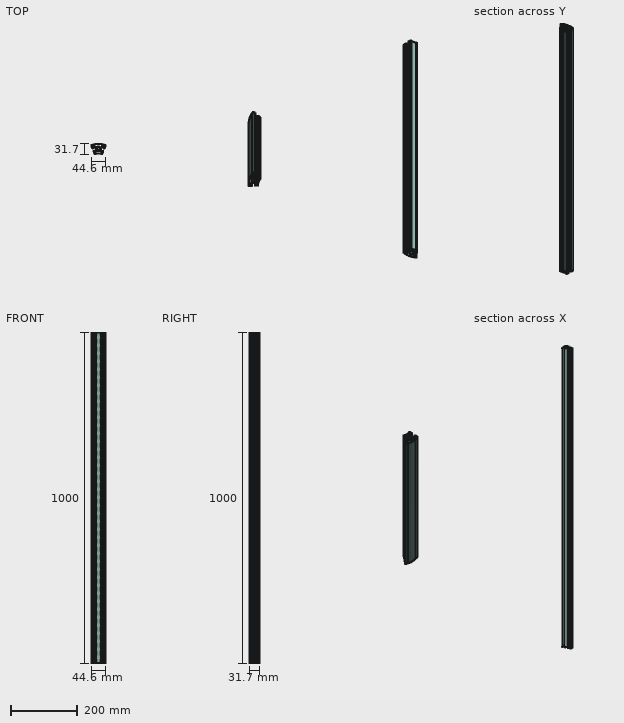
import cadquery as cq
import math

LENGTH = 1000.0
INNER_RADIUS = 30.0
OUTER_RADIUS = 60.0
WEDGE_ANGLE = 45.0
OUTER_CORNER_FILLET = 2.15
INNER_CORNER_FILLET = 2.0

WALL = 1.4

GROOVE_RADIUS = 44.8
GROOVE_OPENING = 7.0
GROOVE_LIP = 2.7
GROOVE_WIDTH = 16.6
GROOVE_SHOULDER_DEPTH = 5.1
GROOVE_FLOOR_WIDTH = 10.0
GROOVE_DEPTH = 8.7
LIP_ROUNDING = 2.4

CORE_RADIUS = 44.9
BORE_DIAMETER = 9.0
TUBE_DIAMETER = 14.4

DIVIDING_RADIUS = 42.0
UPPER_CHAMBER_INSET = GROOVE_DEPTH + WALL
UPPER_HOLLOW_INSET = 7.0
LOWER_HOLLOW_INSET = 3.7
LOWER_CHAMBER_INSET = LOWER_HOLLOW_INSET + WALL
HOLLOW_FILLET = 0.5

HALF_ANGLE = math.radians(WEDGE_ANGLE / 2)
CEILING_RADIUS = OUTER_RADIUS - WALL
FLOOR_RADIUS = INNER_RADIUS + WALL
CLEARANCE = 1.0


def polar(radius, angle):
    """Point at a radius, with the angle measured from +Y towards +X."""
    return (radius * math.sin(angle), radius * math.cos(angle))


def sector(inner, outer, inset=0.0):
    """Wedge between two radii, its sides moved inwards from the side faces by the inset."""
    inner_angle = HALF_ANGLE - math.asin(inset / inner)
    outer_angle = HALF_ANGLE - math.asin(inset / outer)
    return (
        cq.Workplane()
        .moveTo(*polar(inner, -inner_angle))
        .threePointArc((0, inner), polar(inner, inner_angle))
        .lineTo(*polar(outer, outer_angle))
        .threePointArc((0, outer), polar(outer, -outer_angle))
        .close()
        .extrude(LENGTH)
    )


def on_right_side(solid):
    """Moves a solid so that its X runs outwards along the +X side face and its Y runs into the part."""
    turn = 90 - math.degrees(HALF_ANGLE)
    x, y = polar(GROOVE_RADIUS, HALF_ANGLE)
    return solid.rotate((0, 0, 0), (0, 0, 1), turn).translate((x, y, 0))


def both_sides(solid):
    return solid.union(solid.mirror("YZ"))


def edges_at(points):
    """Selector for the Z edges that pass through the given points."""
    reach = 0.1
    boxes = [
        cq.selectors.BoxSelector((x - reach, y - reach, 0), (x + reach, y + reach, LENGTH))
        for x, y in points
    ]
    selector = boxes[0]
    for box in boxes[1:]:
        selector = selector + box
    return selector


def mirrored_polar(radius):
    """The two points on the side faces at a radius."""
    return [polar(radius, HALF_ANGLE), polar(radius, -HALF_ANGLE)]


def cylinder(diameter):
    return cq.Workplane().center(0, CORE_RADIUS).circle(diameter / 2).extrude(LENGTH)


def outer_body():
    body = sector(INNER_RADIUS, OUTER_RADIUS)
    body = body.edges(edges_at(mirrored_polar(OUTER_RADIUS))).fillet(OUTER_CORNER_FILLET)
    return body.edges(edges_at(mirrored_polar(INNER_RADIUS))).fillet(INNER_CORNER_FILLET)


def groove_space(wall=0.0):
    """Wide part of both T-grooves, optionally thickened by a wall all around."""
    taper_angle = math.atan2(
        GROOVE_DEPTH - GROOVE_SHOULDER_DEPTH,
        (GROOVE_WIDTH - GROOVE_FLOOR_WIDTH) / 2,
    )
    floor_shift = wall * math.tan(taper_angle / 2)
    shoulder_shift = wall * math.tan((math.pi / 2 - taper_angle) / 2)
    half_width = GROOVE_WIDTH / 2 + wall
    half_floor = GROOVE_FLOOR_WIDTH / 2 + floor_shift
    top = GROOVE_LIP - wall
    shoulder = GROOVE_SHOULDER_DEPTH + shoulder_shift
    floor = GROOVE_DEPTH + wall
    outline = [
        (-half_width, top),
        (half_width, top),
        (half_width, shoulder),
        (half_floor, floor),
        (-half_floor, floor),
        (-half_width, shoulder),
    ]
    return both_sides(on_right_side(cq.Workplane().polyline(outline).close().extrude(LENGTH)))


def cut_grooves(body):
    opening = cq.Workplane().rect(GROOVE_OPENING, 2 * GROOVE_LIP + CLEARANCE).extrude(LENGTH)
    body = body.cut(groove_space()).cut(both_sides(on_right_side(opening)))
    lip_edges = [
        point
        for sign in (-1, 1)
        for point in mirrored_polar(GROOVE_RADIUS + sign * GROOVE_OPENING / 2)
    ]
    return body.edges(edges_at(lip_edges)).fillet(LIP_ROUNDING)


def chamber(inner, outer, inset):
    """Cavity on the symmetry plane, bounded by the groove webs and the core tube."""
    return sector(inner, outer, inset).cut(groove_space(WALL)).cut(cylinder(TUBE_DIAMETER))


def corner_hollows(direction, inset):
    """Pair of hollows beyond the grooves: direction 1 is towards the outer arc, -1 the inner arc."""
    start = GROOVE_WIDTH / 2 + WALL
    length = OUTER_RADIUS - INNER_RADIUS
    beyond_groove = (
        cq.Workplane()
        .center(direction * (start + length / 2), (WALL + inset) / 2)
        .rect(length, inset - WALL)
        .extrude(LENGTH)
    )
    hollow = on_right_side(beyond_groove).intersect(sector(FLOOR_RADIUS, CEILING_RADIUS))
    return both_sides(hollow.edges("|Z").fillet(HOLLOW_FILLET))


def build_profile():
    body = cut_grooves(outer_body())
    body = body.cut(chamber(DIVIDING_RADIUS, CEILING_RADIUS, UPPER_CHAMBER_INSET))
    body = body.cut(chamber(FLOOR_RADIUS, DIVIDING_RADIUS, LOWER_CHAMBER_INSET))
    body = body.cut(corner_hollows(1, UPPER_HOLLOW_INSET))
    body = body.cut(corner_hollows(-1, LOWER_HOLLOW_INSET))
    return body.cut(cylinder(BORE_DIAMETER))


result = build_profile()